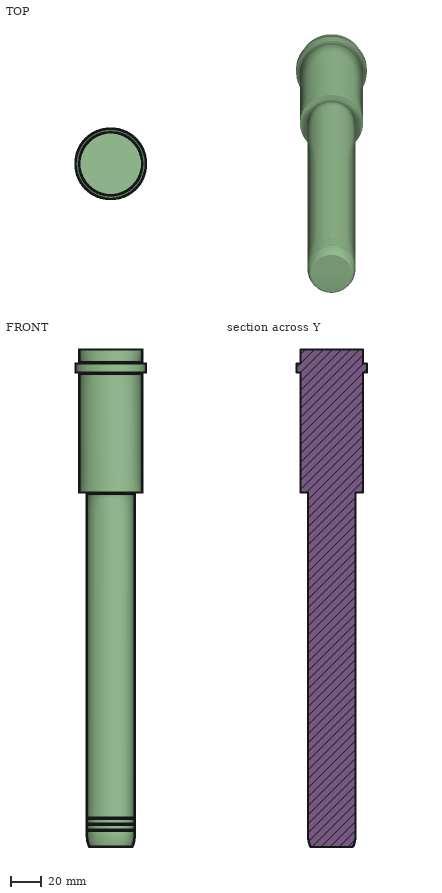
import cadquery as cq
import math

total_height = 330.0

flange_diameter = 47.0
body_diameter = 42.0
rod_diameter = 32.0
tip_diameter = 28.5

head_height = 9.2
flange_height = 6.3
body_height = 79.5
tip_height = 8.0
tip_chamfer = 0.5

groove_count = 3
groove_pitch = 4.0
groove_width = 1.0
groove_depth = 0.15

flange_top = total_height - head_height
flange_bottom = flange_top - flange_height
body_bottom = flange_bottom - body_height
rod_radius = rod_diameter / 2


def cylinder(diameter, bottom, top):
    """Solid cylinder on the Z axis between two heights."""
    return cq.Workplane("XY").workplane(offset=bottom).circle(diameter / 2).extrude(top - bottom)


def rounded_tip():
    """Lead-in whose wall leaves the rod tangentially and curves in to the tip face."""
    tip_radius = tip_diameter / 2
    inset = rod_radius - tip_radius
    arc_radius = (tip_height**2 + inset**2) / (2 * inset)
    middle_height = tip_height / 2
    middle_inset = arc_radius - math.sqrt(arc_radius**2 - middle_height**2)
    return (
        cq.Workplane("XZ")
        .lineTo(tip_radius, 0)
        .threePointArc((rod_radius - middle_inset, middle_height), (rod_radius, tip_height))
        .lineTo(0, tip_height)
        .close()
        .revolve(360, (0, 0, 0), (0, 1, 0))
    )


def groove(diameter, bottom):
    """Shallow ring of rectangular section that cuts into a cylinder of the given diameter."""
    return (
        cq.Workplane("XY")
        .workplane(offset=bottom)
        .circle(diameter / 2 + groove_depth)
        .circle(diameter / 2 - groove_depth)
        .extrude(groove_width)
    )


result = (
    rounded_tip()
    .union(cylinder(rod_diameter, tip_height, body_bottom))
    .union(cylinder(body_diameter, body_bottom, total_height))
    .union(cylinder(flange_diameter, flange_bottom, flange_top))
)

for index in range(1, groove_count + 1):
    groove_top = tip_height + index * groove_pitch
    result = result.cut(groove(rod_diameter, groove_top - groove_width))

result = result.cut(groove(body_diameter, flange_top))
result = result.cut(groove(body_diameter, flange_bottom - groove_width))
result = result.cut(groove(rod_diameter, body_bottom - groove_width))

result = result.faces("<Z").chamfer(tip_chamfer)